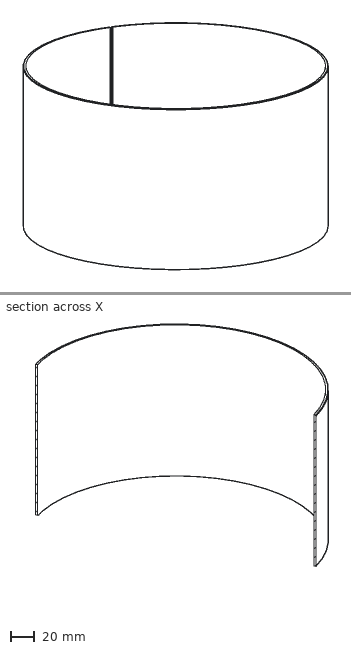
import cadquery as cq

outer_diameter = 255.0
wall = 2.3
height = 140.0
slit_width = 2.3
rim_chamfer = 0.5

outer_radius = outer_diameter / 2

sleeve = (
    cq.Workplane("XY")
    .circle(outer_radius)
    .extrude(height)
    .edges("%CIRCLE")
    .chamfer(rim_chamfer)
)
bore = cq.Workplane("XY").circle(outer_radius - wall).extrude(height)
sleeve = sleeve.cut(bore)

slit_depth = 4 * wall
slit = (
    cq.Workplane("XY")
    .center(-outer_radius, slit_width / 2)
    .rect(slit_depth, slit_width)
    .extrude(height)
)

result = sleeve.cut(slit)